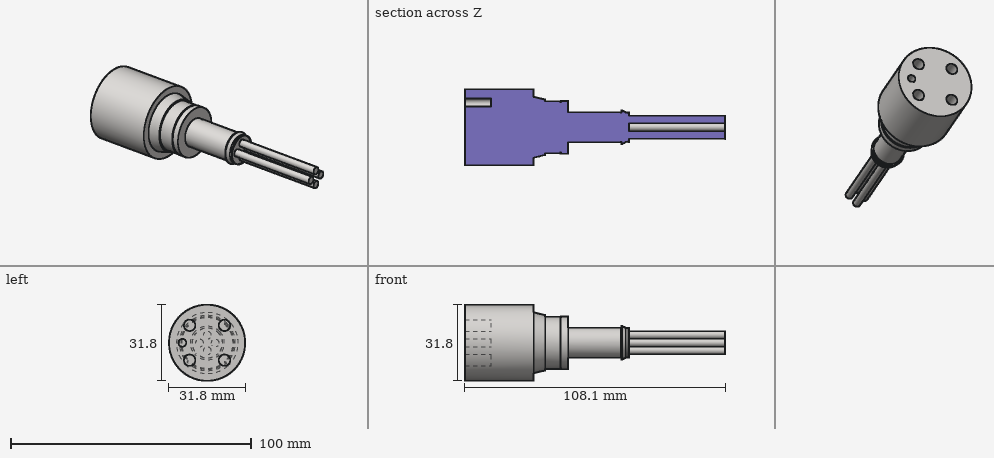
import cadquery as cq

total_length = 108.1

head_diameter = 31.8
head_end = 28.5

taper_start_diameter = 25.5
taper_end_diameter = 23.1
taper_end = 33.3

collar_diameter = 21.8
collar_groove_start = 39.7
collar_groove_width = 0.2
collar_groove_diameter = 21.2
rim_diameter = 22.1
rim_end = 42.9

stem_diameter = 12.7
stem_groove_width = 0.2
stem_groove_diameter = 12.4
stem_end = 65.0

barb_diameter = 14.1
barb_flat_length = 0.3
barb_end = 66.9
neck_diameter = 12.4
lip_diameter = stem_diameter
lip_length = 0.3
tip_end = 68.2

wire_diameter = 3.2
wire_offset = 3.2

contact_hole_diameter = 4.8
contact_hole_spacing = 14.5
key_hole_diameter = 3.2
key_hole_offset = 10.3
hole_depth = 10.8


def make_body():
    """Revolve the stepped half outline about the X axis."""
    collar_groove_end = collar_groove_start + collar_groove_width
    stem_groove_start = stem_end - stem_groove_width
    lip_start = tip_end - lip_length
    steps = [
        (0, head_diameter),
        (head_end, head_diameter),
        (head_end, taper_start_diameter),
        (taper_end, taper_end_diameter),
        (taper_end, collar_diameter),
        (collar_groove_start, collar_diameter),
        (collar_groove_start, collar_groove_diameter),
        (collar_groove_end, collar_groove_diameter),
        (collar_groove_end, rim_diameter),
        (rim_end, rim_diameter),
        (rim_end, stem_diameter),
        (stem_groove_start, stem_diameter),
        (stem_groove_start, stem_groove_diameter),
        (stem_end, stem_groove_diameter),
        (stem_end, barb_diameter),
        (stem_end + barb_flat_length, barb_diameter),
        (barb_end, neck_diameter),
        (lip_start, neck_diameter),
        (lip_start, lip_diameter),
        (tip_end, lip_diameter),
    ]
    half_outline = [(x, diameter / 2) for x, diameter in steps]
    closed_outline = [(0, 0)] + half_outline + [(tip_end, 0)]
    return cq.Workplane("XY").polyline(closed_outline).close().revolve(360, (0, 0, 0), (1, 0, 0))


def make_rods(start, end, diameter, centres):
    """Round rods parallel to X, from start to end, at the given (Y, Z) centres."""
    plane = cq.Workplane("YZ", origin=(start, 0, 0))
    return plane.pushPoints(centres).circle(diameter / 2).extrude(end - start)


def make_holes():
    """Tools for the contact holes and the key hole."""
    sides = (-contact_hole_spacing / 2, contact_hole_spacing / 2)
    contact_centres = [(y, z) for y in sides for z in sides]
    contact_holes = make_rods(0, hole_depth, contact_hole_diameter, contact_centres)
    key_hole = make_rods(0, hole_depth, key_hole_diameter, [(key_hole_offset, 0)])
    return contact_holes.union(key_hole)


def make_wires():
    """The wires, rooted inside the tip so that they fuse with it."""
    centres = [(wire_offset, 0), (-wire_offset, 0), (0, wire_offset), (0, -wire_offset)]
    return make_rods(barb_end, total_length, wire_diameter, centres)


result = make_body().cut(make_holes()).union(make_wires())